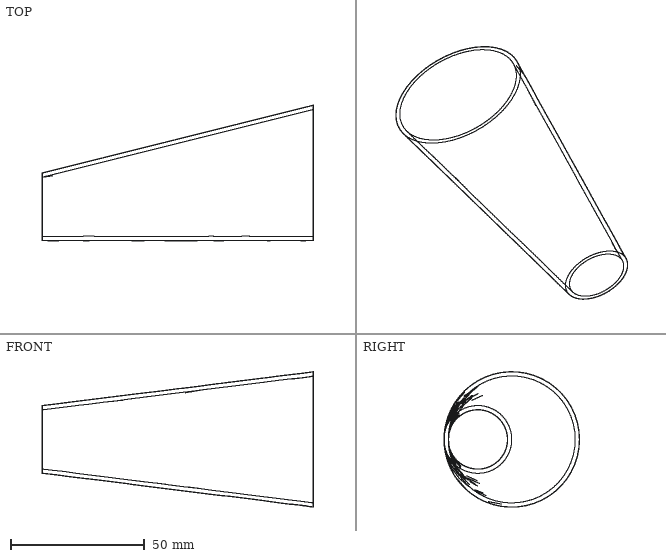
import cadquery as cq

length = 101.6
large_diameter = 50.8
small_diameter = 25.4
wall = 1.6

small_end_offset = (large_diameter - small_diameter) / 2


def skewed_cone(small_end_diameter, large_end_diameter):
    """Solid lofted from the small end at X = 0 to the large end at X = length."""
    return (
        cq.Workplane("YZ")
        .center(-small_end_offset, 0)
        .circle(small_end_diameter / 2)
        .workplane(offset=length)
        .center(small_end_offset, 0)
        .circle(large_end_diameter / 2)
        .loft(ruled=True)
    )


outer_body = skewed_cone(small_diameter, large_diameter)
bore = skewed_cone(small_diameter - 2 * wall, large_diameter - 2 * wall)

result = outer_body.cut(bore)